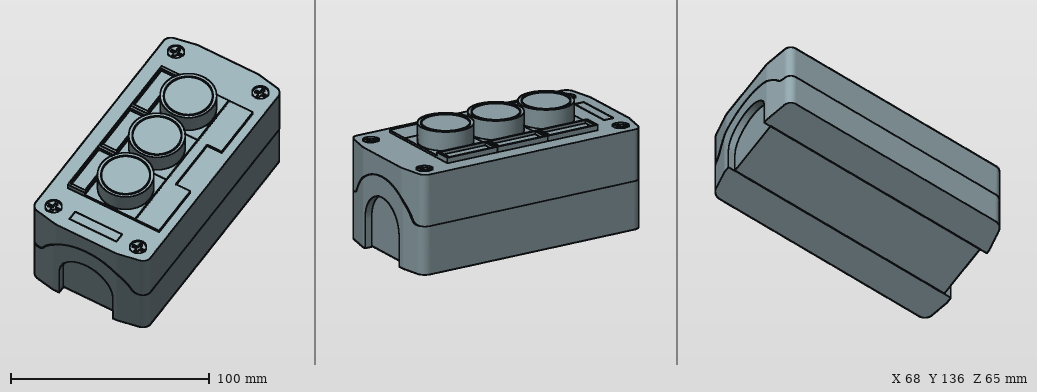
import cadquery as cq
import math

WIDTH = 68.0
LENGTH = 136.0
TOTAL_HEIGHT = 65.0
COVER_TOP = 53.7
SPLIT_HEIGHT = 26.0

COVER_CORNER_Y = 64.8
COVER_SHOULDER_X = 18.0
COVER_CORNER_RADIUS = 4.4
COVER_SHOULDER_RADIUS = 9.3
BASE_LEFT_CORNER_Y = 65.2
BASE_LEFT_SHOULDER_X = 19.5
BASE_LEFT_CORNER_RADIUS = 5.2
BASE_RIGHT_CORNER_RADIUS = 4.7

ARCH_RADIUS = 30.0
ARCH_TOP = 43.2
ARCH_FOOT_RADIUS = 4.0
ARCH_GAP = 0.25

ENTRY_RADIUS = 15.9
ENTRY_TOP = 32.2
ENTRY_DEPTH = 4.0
CHANNEL_DEPTH = 0.5

SCREW_X = 25.0
SCREW_Y = 58.6
SCREW_RADIUS = 4.2
SCREW_RECESS = 1.0
CROSS_LENGTH = 6.0
CROSS_WIDTH = 1.5
CROSS_DEPTH = 1.0

FIELD_LENGTH = 27.8
FIELD_WIDTH = 5.5
FIELD_Y = -58.6
FIELD_DEPTH = 0.2

UNIT_COUNT = 3
UNIT_PITCH = 30.0
UNIT_GAP = 0.15
UNIT_LENGTH = UNIT_PITCH - UNIT_GAP
UNIT_LEFT = -25.0
UNIT_RIGHT = 14.7
PLATE_TOP = 54.9
HOLDER_RIGHT = -15.0
HOLDER_TOP = 56.6
WINDOW_LENGTH = 26.9
WINDOW_WIDTH = 8.5
BUTTON_RADIUS = 14.25
CAP_RADIUS = 12.2
GROOVE_WIDTH = 0.3
GROOVE_DEPTH = 0.4

PANEL_LEFT = 15.0
PANEL_RIGHT = 29.0
PANEL_LENGTH = UNIT_COUNT * UNIT_PITCH - UNIT_GAP
NOTCH_LEFT = 20.4


def box_between(x_min, x_max, y_center, y_length, z_min, z_max):
    """Block given by its X range, its Y centre and length, and its Z range."""
    return (
        cq.Workplane("XY", origin=((x_min + x_max) / 2, y_center, z_min))
        .rect(x_max - x_min, y_length)
        .extrude(z_max - z_min)
    )


def tapered_block(left, right, z_min, z_max):
    """Upright block whose ends taper from a flat middle to rounded corners.

    left and right each give the corner Y, shoulder X and corner radius of that side.
    """
    side = WIDTH / 2
    end = LENGTH / 2
    left_corner_y, left_shoulder_x, left_radius = left
    right_corner_y, right_shoulder_x, right_radius = right
    return (
        cq.Workplane("XY", origin=(0, 0, z_min))
        .polyline([
            (side, -right_corner_y), (side, right_corner_y),
            (right_shoulder_x, end), (-left_shoulder_x, end),
            (-side, left_corner_y), (-side, -left_corner_y),
            (-left_shoulder_x, -end), (right_shoulder_x, -end),
        ])
        .close()
        .extrude(z_max - z_min)
        .edges("|Z and <X")
        .fillet(left_radius)
        .edges("|Z and >X")
        .fillet(right_radius)
    )


def arch_prism(radius):
    """Arch above the split height, with flared feet, along the whole length."""
    center_z = ARCH_TOP - ARCH_RADIUS
    foot_z = SPLIT_HEIGHT + ARCH_FOOT_RADIUS
    center_distance = radius + ARCH_FOOT_RADIUS
    foot_x = math.sqrt(center_distance ** 2 - (foot_z - center_z) ** 2)
    tangent_x = foot_x * radius / center_distance
    tangent_z = center_z + (foot_z - center_z) * radius / center_distance
    tangent_angle = math.atan2(tangent_x - foot_x, foot_z - tangent_z)
    mid_angle = tangent_angle / 2
    mid_x = foot_x + ARCH_FOOT_RADIUS * math.sin(mid_angle)
    mid_z = foot_z - ARCH_FOOT_RADIUS * math.cos(mid_angle)
    return (
        cq.Workplane("XZ", origin=(0, LENGTH / 2, 0))
        .moveTo(-foot_x, SPLIT_HEIGHT)
        .threePointArc((-mid_x, mid_z), (-tangent_x, tangent_z))
        .threePointArc((0, center_z + radius), (tangent_x, tangent_z))
        .threePointArc((mid_x, mid_z), (foot_x, SPLIT_HEIGHT))
        .close()
        .extrude(LENGTH)
    )


def entry_recess(end):
    """Round-topped recess cut into one end (+1 or -1) of the base."""
    spring_z = ENTRY_TOP - ENTRY_RADIUS
    outer_y = end * LENGTH / 2
    inner_y = outer_y - end * ENTRY_DEPTH
    return (
        cq.Workplane("XZ", origin=(0, max(outer_y, inner_y), 0))
        .moveTo(-ENTRY_RADIUS, 0)
        .lineTo(-ENTRY_RADIUS, spring_z)
        .threePointArc((0, ENTRY_TOP), (ENTRY_RADIUS, spring_z))
        .lineTo(ENTRY_RADIUS, 0)
        .close()
        .extrude(ENTRY_DEPTH)
    )


def make_base():
    """Lower half: tapered block with an arched ridge and two cable entries."""
    left = (BASE_LEFT_CORNER_Y, BASE_LEFT_SHOULDER_X, BASE_LEFT_CORNER_RADIUS)
    right = (COVER_CORNER_Y, COVER_SHOULDER_X, BASE_RIGHT_CORNER_RADIUS)
    base = tapered_block(left, right, 0, SPLIT_HEIGHT)
    ridge = tapered_block(left, right, SPLIT_HEIGHT, ARCH_TOP).intersect(arch_prism(ARCH_RADIUS))
    base = base.union(ridge)
    for end in (-1, 1):
        base = base.cut(entry_recess(end))
    channel = box_between(-ENTRY_RADIUS, ENTRY_RADIUS, 0, LENGTH, 0, CHANNEL_DEPTH)
    return base.cut(channel)


def cut_screws(cover):
    """Sink the four screw heads and their cross slots into the cover."""
    screws = (
        cq.Workplane("XY", origin=(0, 0, COVER_TOP))
        .rect(2 * SCREW_X, 2 * SCREW_Y, forConstruction=True)
        .vertices()
    )
    heads = screws.circle(SCREW_RADIUS).extrude(-SCREW_RECESS)
    slot_depth = SCREW_RECESS + CROSS_DEPTH
    slots_x = screws.rect(CROSS_LENGTH, CROSS_WIDTH).extrude(-slot_depth)
    slots_y = screws.rect(CROSS_WIDTH, CROSS_LENGTH).extrude(-slot_depth)
    return cover.cut(heads).cut(slots_x).cut(slots_y)


def make_side_panel():
    """C-shaped raised panel, notched beside the middle button."""
    panel = box_between(PANEL_LEFT, PANEL_RIGHT, 0, PANEL_LENGTH, COVER_TOP, PLATE_TOP)
    notch = box_between(NOTCH_LEFT, PANEL_RIGHT, 0, UNIT_PITCH, COVER_TOP, PLATE_TOP)
    return panel.cut(notch)


def make_cover():
    """Upper half: tapered block hollowed by the arch, with screws and panel."""
    side = (COVER_CORNER_Y, COVER_SHOULDER_X, COVER_CORNER_RADIUS)
    cover = tapered_block(side, side, SPLIT_HEIGHT, COVER_TOP)
    shoulder_reach = (COVER_SHOULDER_X + WIDTH / 2) / 2
    shoulders = cq.selectors.BoxSelector(
        (-shoulder_reach, -LENGTH, 0), (shoulder_reach, LENGTH, TOTAL_HEIGHT)
    )
    cover = cover.edges("|Z").edges(shoulders).fillet(COVER_SHOULDER_RADIUS)
    cover = cover.cut(arch_prism(ARCH_RADIUS + ARCH_GAP))
    cover = cut_screws(cover)
    field = box_between(
        -FIELD_LENGTH / 2, FIELD_LENGTH / 2, FIELD_Y, FIELD_WIDTH, COVER_TOP - FIELD_DEPTH, COVER_TOP
    )
    return cover.cut(field).union(make_side_panel())


def make_button_unit(y_center):
    """Plate with a label holder along its left side and a round push button."""
    plate = box_between(UNIT_LEFT, UNIT_RIGHT, y_center, UNIT_LENGTH, COVER_TOP, PLATE_TOP)
    holder = box_between(UNIT_LEFT, HOLDER_RIGHT, y_center, UNIT_LENGTH, COVER_TOP, HOLDER_TOP)
    holder_x = (UNIT_LEFT + HOLDER_RIGHT) / 2
    window = box_between(
        holder_x - WINDOW_WIDTH / 2, holder_x + WINDOW_WIDTH / 2,
        y_center, WINDOW_LENGTH, PLATE_TOP, HOLDER_TOP,
    )
    button = (
        cq.Workplane("XY", origin=(0, y_center, COVER_TOP))
        .circle(BUTTON_RADIUS)
        .extrude(TOTAL_HEIGHT - COVER_TOP)
    )
    groove = (
        cq.Workplane("XY", origin=(0, y_center, TOTAL_HEIGHT))
        .circle(CAP_RADIUS + GROOVE_WIDTH)
        .circle(CAP_RADIUS)
        .extrude(-GROOVE_DEPTH)
    )
    return plate.union(holder).cut(window).union(button).cut(groove)


base = make_base()
cover = make_cover()
button_units = [
    make_button_unit((index - (UNIT_COUNT - 1) / 2) * UNIT_PITCH)
    for index in range(UNIT_COUNT)
]

result = cq.Compound.makeCompound([
    base.val(),
    cover.val(),
    *[unit.val() for unit in button_units],
])